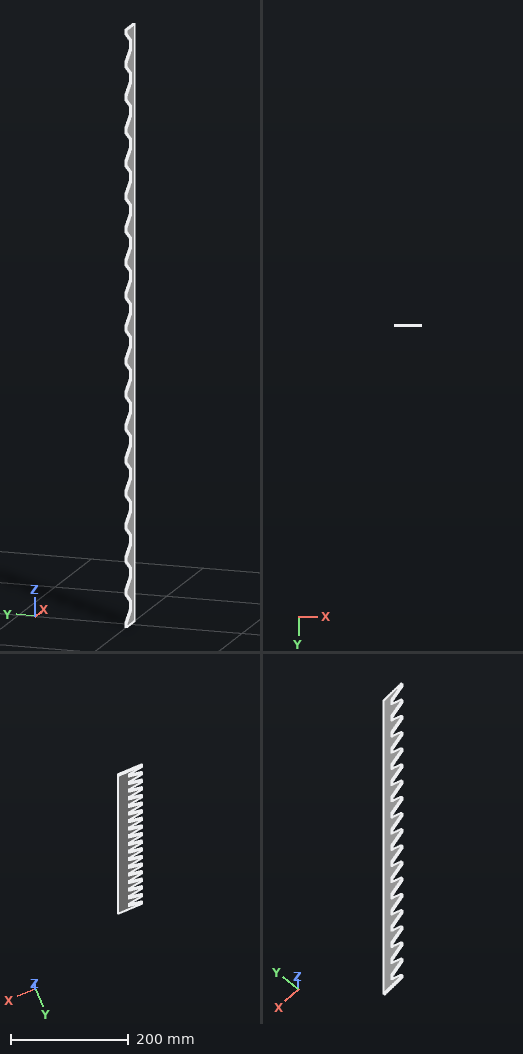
import cadquery as cq

blade_length = 1050.0
blade_width = 45.0
blade_thickness = 3.0
gap_count = 18
tooth_pitch = 58.0
tip_flat = 7.0
valley_flat = 16.0
tooth_depth = 25.0

flank_rise = (tooth_pitch - tip_flat - valley_flat) / 2
gap_opening = valley_flat + 2 * flank_rise
toothed_length = (gap_count - 1) * tooth_pitch + gap_opening
end_tip_flat = (blade_length - toothed_length) / 2

tip_x = -blade_width / 2
back_x = blade_width / 2
valley_x = tip_x + tooth_depth
bottom_z = -blade_length / 2
top_z = blade_length / 2


def gap_points(index):
    """Corners of one trapezoidal gap between two teeth, from bottom to top."""
    lower_tip_z = bottom_z + end_tip_flat + index * tooth_pitch
    valley_start_z = lower_tip_z + flank_rise
    valley_end_z = valley_start_z + valley_flat
    upper_tip_z = valley_end_z + flank_rise
    return [
        (tip_x, lower_tip_z),
        (valley_x, valley_start_z),
        (valley_x, valley_end_z),
        (tip_x, upper_tip_z),
    ]


def make_toothed_strip():
    """Flat strip in the XZ plane, toothed along its -X edge, centred on the origin."""
    outline = [(back_x, bottom_z), (tip_x, bottom_z)]
    for index in range(gap_count):
        outline.extend(gap_points(index))
    outline.extend([(tip_x, top_z), (back_x, top_z)])
    return cq.Workplane("XZ").polyline(outline).close().extrude(blade_thickness / 2, both=True)


result = make_toothed_strip()